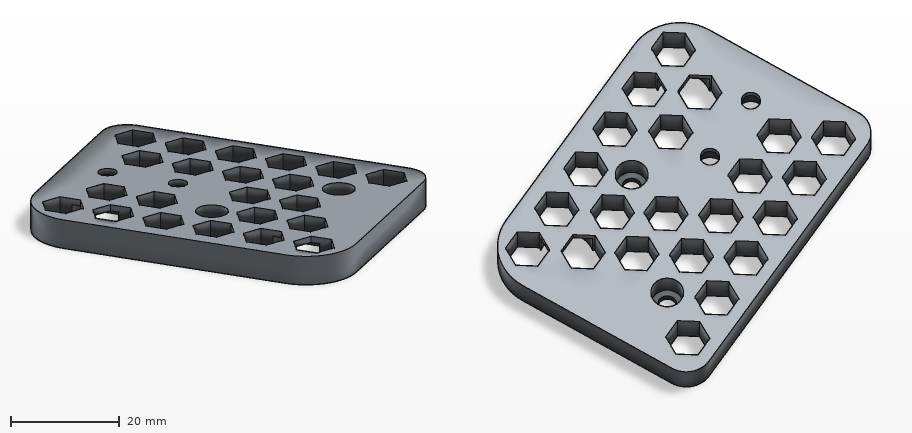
import cadquery as cq
import math

LENGTH = 64.0
WIDTH = 47.5
THICKNESS = 5.7
BACK_RADIUS = 5.0
FRONT_RADIUS = 10.0

HEX_FLATS = 7.05
COLUMN_SPAN = 50.0
FULL_ROW_COUNT = 6
HEX_PITCH = COLUMN_SPAN / (FULL_ROW_COUNT - 1)
HEX_ROWS = [
    (17.8, [-2.5, -1.5, -0.5, 0.5, 1.5, 2.5]),
    (9.1, [-2, -1, 0, 1]),
    (0.3, [0.5, 1.5]),
    (-8.2, [-2, -1, 1, 2]),
    (-17.15, [-2.5, -1.5, -0.5, 0.5, 1.5, 2.5]),
]

WEB = 1.2
SINK_DEPTH = THICKNESS - WEB

SCREW_DIAMETER = 3.5
COUNTERBORE_DIAMETER = 6.0
TOP_SCREWS = [(1.5, -9.4), (18.95, 9.5)]
BOTTOM_SCREWS = [(-23.5, 0.7), (-9.5, 0.7)]

POCKET_DIAMETER = 10.0
POCKET_X = 2 * HEX_PITCH
POCKET_Y = -11.8
POCKETS = [(-POCKET_X, POCKET_Y), (POCKET_X, POCKET_Y)]


def plate():
    """Plate standing on Z = 0, with larger corner radii along the front (-Y) side."""
    body = cq.Workplane("XY").box(LENGTH, WIDTH, THICKNESS, centered=(True, True, False))
    body = body.edges("|Z and >Y").fillet(BACK_RADIUS)
    return body.edges("|Z and <Y").fillet(FRONT_RADIUS)


def hexagons():
    """Prisms for the through openings, each with two corners pointing along X."""
    centers = [(place * HEX_PITCH, row_y) for row_y, places in HEX_ROWS for place in places]
    corner_diameter = HEX_FLATS / math.cos(math.pi / 6)
    return cq.Workplane("XY").pushPoints(centers).polygon(6, corner_diameter).extrude(THICKNESS)


def cylinders(centers, diameter, bottom, height):
    """Upright cylinders starting at the height `bottom`."""
    base = cq.Workplane("XY").workplane(offset=bottom)
    return base.pushPoints(centers).circle(diameter / 2).extrude(height)


result = plate().cut(hexagons())

result = result.cut(cylinders(TOP_SCREWS + BOTTOM_SCREWS, SCREW_DIAMETER, 0, THICKNESS))
result = result.cut(cylinders(TOP_SCREWS, COUNTERBORE_DIAMETER, WEB, SINK_DEPTH))
result = result.cut(cylinders(BOTTOM_SCREWS, COUNTERBORE_DIAMETER, 0, SINK_DEPTH))

result = result.cut(cylinders(POCKETS, POCKET_DIAMETER, 0, SINK_DEPTH))